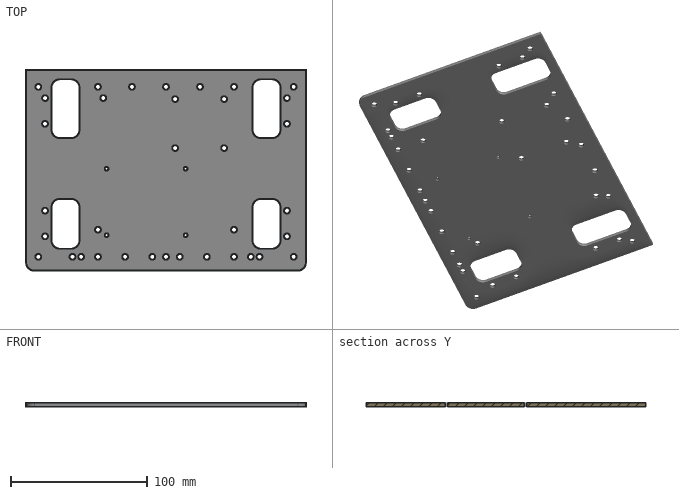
import cadquery as cq

LENGTH = 205.6
WIDTH = 147.5
THICKNESS = 3.0
CORNER_RADIUS = 6.0

WINDOW_X = 73.8
WINDOW_WIDTH = 20.4
WINDOW_RADIUS = 6.0
REAR_WINDOW_Y = 45.2
REAR_WINDOW_LENGTH = 43.0
FRONT_WINDOW_Y = -39.3
FRONT_WINDOW_LENGTH = 36.4

SCREW_DIAMETER = 4.1
END_HOLE_X = 93.8
INNER_HOLE_X = 50.0
REAR_ROW_Y = 61.3
REAR_ROW_PITCH = INNER_HOLE_X / 2
FRONT_ROW_Y = -63.5
FRONT_ROW_OFFSETS = [10.0, 30.0, INNER_HOLE_X, 62.3, 68.7, END_HOLE_X]
INNER_HOLE_Y = -43.5
SIDE_HOLE_X = 88.8
SIDE_HOLE_SPACING = 19.0
REAR_SIDE_Y = 43.5
FRONT_SIDE_Y = -39.0
LONE_HOLE = (-46.0, 53.0)

SQUARE_CENTER = (24.7, 34.3)
SQUARE_SPACING = 36.0

SMALL_DIAMETER = 2.7
SMALL_CENTER = (-14.5, -23.2)
SMALL_SPACING_X = 58.0
SMALL_SPACING_Y = 48.7


def mirrored(offsets, y):
    """Points at plus and minus each X offset, all at the same Y."""
    return [(side * x, y) for x in offsets for side in (-1, 1)]


def rectangle_points(center, spacing_x, spacing_y):
    """Four corner points of a rectangle about its center."""
    x, y = center
    return [
        (x + i * spacing_x / 2, y + j * spacing_y / 2)
        for i in (-1, 1)
        for j in (-1, 1)
    ]


def drill(plate, points, diameter):
    """Cut through holes at the given points."""
    cutters = cq.Workplane("XY").pushPoints(points).circle(diameter / 2).extrude(THICKNESS)
    return plate.cut(cutters)


def cut_windows(plate, y, length):
    """Cut a mirrored pair of rounded windows."""
    cutters = (
        cq.Workplane("XY")
        .pushPoints(mirrored([WINDOW_X], y))
        .rect(WINDOW_WIDTH, length)
        .extrude(THICKNESS)
        .edges("|Z")
        .fillet(WINDOW_RADIUS)
    )
    return plate.cut(cutters)


plate = (
    cq.Workplane("XY")
    .box(LENGTH, WIDTH, THICKNESS, centered=(True, True, False))
    .faces("<Y")
    .edges("|Z")
    .fillet(CORNER_RADIUS)
)

plate = cut_windows(plate, REAR_WINDOW_Y, REAR_WINDOW_LENGTH)
plate = cut_windows(plate, FRONT_WINDOW_Y, FRONT_WINDOW_LENGTH)

screw_points = [(0, REAR_ROW_Y), (0, FRONT_ROW_Y), LONE_HOLE]
screw_points += mirrored([REAR_ROW_PITCH, INNER_HOLE_X, END_HOLE_X], REAR_ROW_Y)
screw_points += mirrored(FRONT_ROW_OFFSETS, FRONT_ROW_Y)
screw_points += mirrored([INNER_HOLE_X], INNER_HOLE_Y)
for side_y in (REAR_SIDE_Y, FRONT_SIDE_Y):
    screw_points += rectangle_points((0, side_y), 2 * SIDE_HOLE_X, SIDE_HOLE_SPACING)
screw_points += rectangle_points(SQUARE_CENTER, SQUARE_SPACING, SQUARE_SPACING)
plate = drill(plate, screw_points, SCREW_DIAMETER)

small_points = rectangle_points(SMALL_CENTER, SMALL_SPACING_X, SMALL_SPACING_Y)
result = drill(plate, small_points, SMALL_DIAMETER)